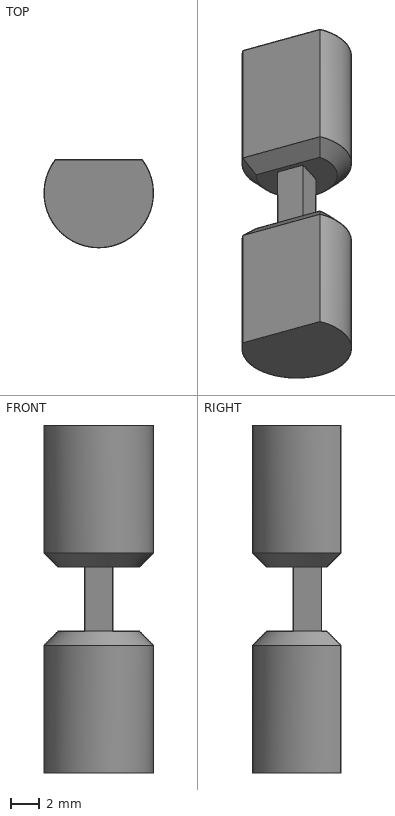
import cadquery as cq

body_diameter = 7.72
body_depth = 6.22
body_length = 10.0
body_chamfer = 1.0
neck_width = 2.0
neck_length = 4.5

body_radius = body_diameter / 2
overall_length = 2 * body_length + neck_length


def lower_body():
    """D-shaped cylinder standing on Z = 0, chamfered all around its top end."""
    cylinder = cq.Workplane("XY").circle(body_radius).extrude(body_length)
    keep_box = cq.Workplane("XY").box(
        body_diameter, body_depth, body_length, centered=(True, False, False)
    ).translate((0, -body_radius, 0))
    return cylinder.intersect(keep_box).faces(">Z").edges().chamfer(body_chamfer)


def neck():
    """Square bar joining the chamfered ends of the two bodies."""
    return (
        cq.Workplane("XY")
        .workplane(offset=body_length)
        .rect(neck_width, neck_width)
        .extrude(neck_length)
    )


bottom = lower_body()
top = bottom.mirror("XY").translate((0, 0, overall_length))

result = bottom.union(neck()).union(top)